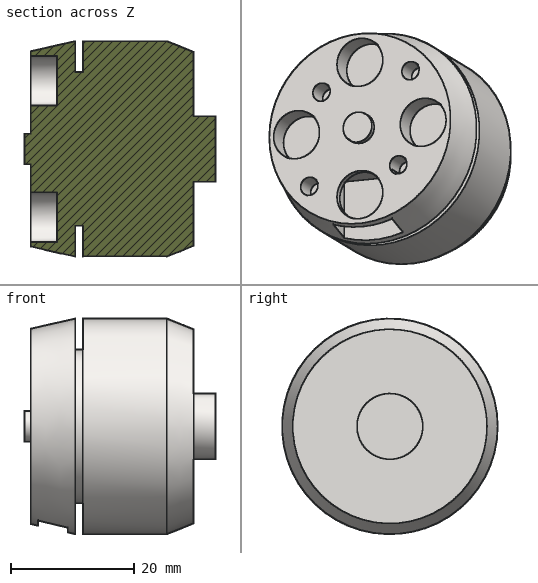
import cadquery as cq
import math

PIN_LENGTH = 1.0
CAP_LENGTH = 7.25
NECK_LENGTH = 1.22
BODY_LENGTH = 13.6
TAPER_LENGTH = 4.35
SHAFT_LENGTH = 3.57

OUTER_DIAMETER = 35.0
CAP_FACE_DIAMETER = 31.7
BODY_END_DIAMETER = 31.5
NECK_DIAMETER = 25.0
PIN_DIAMETER = 5.0
SHAFT_DIAMETER = 10.68

LARGE_HOLE_DIAMETER = 8.0
LARGE_HOLE_RADIUS = 11.05
LARGE_HOLE_COUNT = 4
SMALL_HOLE_DIAMETER = 3.0
INNER_SMALL_RADIUS = 9.5
OUTER_SMALL_RADIUS = 12.5
HOLE_DEPTH = 4.27

SLOT_SETBACK = 1.22
SLOT_LENGTH = 4.75
SLOT_WIDTH = 10.25

CAP_FACE_X = PIN_LENGTH
CAP_BACK_X = CAP_FACE_X + CAP_LENGTH
BODY_FRONT_X = CAP_BACK_X + NECK_LENGTH
TAPER_X = BODY_FRONT_X + BODY_LENGTH
BODY_END_X = TAPER_X + TAPER_LENGTH
SHAFT_END_X = BODY_END_X + SHAFT_LENGTH


def turned_body():
    """Revolve the stepped half profile about the X axis."""
    profile = [
        (0, 0),
        (0, PIN_DIAMETER / 2),
        (CAP_FACE_X, PIN_DIAMETER / 2),
        (CAP_FACE_X, CAP_FACE_DIAMETER / 2),
        (CAP_BACK_X, OUTER_DIAMETER / 2),
        (CAP_BACK_X, NECK_DIAMETER / 2),
        (BODY_FRONT_X, NECK_DIAMETER / 2),
        (BODY_FRONT_X, OUTER_DIAMETER / 2),
        (TAPER_X, OUTER_DIAMETER / 2),
        (BODY_END_X, BODY_END_DIAMETER / 2),
        (BODY_END_X, SHAFT_DIAMETER / 2),
        (SHAFT_END_X, SHAFT_DIAMETER / 2),
        (SHAFT_END_X, 0),
    ]
    return cq.Workplane("XY").polyline(profile).close().revolve(360, (0, 0), (1, 0))


def face_hole(diameter, radius, angle):
    """Cutter for a cap-face hole; the angle is measured from +Y towards +Z."""
    center_y = radius * math.cos(math.radians(angle))
    center_z = radius * math.sin(math.radians(angle))
    return (
        cq.Workplane("YZ", origin=(CAP_FACE_X, 0, 0))
        .center(center_y, center_z)
        .circle(diameter / 2)
        .extrude(HOLE_DEPTH)
    )


def rim_slot():
    """Cutter from the top of the lowest large hole down through the rim."""
    top_z = LARGE_HOLE_DIAMETER / 2 - LARGE_HOLE_RADIUS
    bottom_z = -OUTER_DIAMETER / 2
    return (
        cq.Workplane("XY", origin=(CAP_FACE_X + SLOT_SETBACK, 0, bottom_z))
        .box(SLOT_LENGTH, SLOT_WIDTH, top_z - bottom_z, centered=(False, True, False))
    )


result = turned_body()

for index in range(LARGE_HOLE_COUNT):
    hole_angle = index * 360 / LARGE_HOLE_COUNT
    result = result.cut(face_hole(LARGE_HOLE_DIAMETER, LARGE_HOLE_RADIUS, hole_angle))

for pair_radius, pair_angle in [(INNER_SMALL_RADIUS, 45), (OUTER_SMALL_RADIUS, 135)]:
    for hole_angle in (pair_angle, pair_angle + 180):
        result = result.cut(face_hole(SMALL_HOLE_DIAMETER, pair_radius, hole_angle))

result = result.cut(rim_slot())